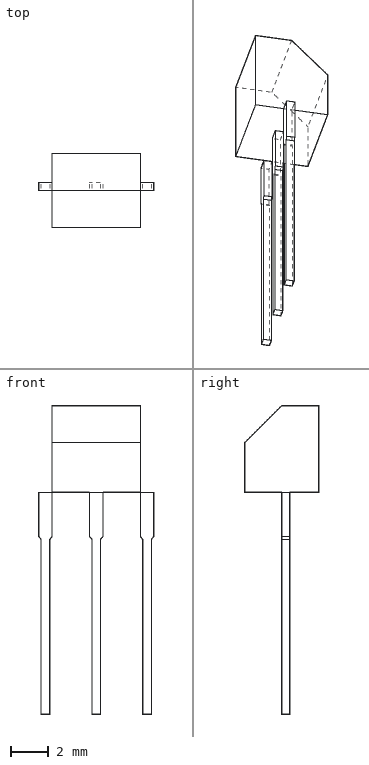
import cadquery as cq

total_height = 16.39
total_width = 6.11

body_width = 4.7
body_depth = 3.93
body_height = 4.6
slope_size = body_depth / 2

lead_count = 3
shoulder_width = 0.72
pin_width = 0.48
lead_thickness = 0.45
shoulder_length = 2.35
taper_length = 0.15
lead_offset_y = 0.21
lead_length = total_height - body_height
lead_pitch = (total_width - shoulder_width) / (lead_count - 1)


def make_housing():
    """Housing standing on Z = 0, with its front top edge cut at 45 degrees."""
    block = cq.Workplane("XY").box(body_width, body_depth, body_height, centered=(True, True, False))
    return block.faces("<Y").edges(">Z").chamfer(slope_size)


def make_lead(center_x):
    """Lead hanging below Z = 0, tapering from its shoulder to the narrow pin."""
    half_shoulder = shoulder_width / 2
    half_pin = pin_width / 2
    taper_end = shoulder_length + taper_length
    outline = [
        (-half_shoulder, 0),
        (half_shoulder, 0),
        (half_shoulder, -shoulder_length),
        (half_pin, -taper_end),
        (half_pin, -lead_length),
        (-half_pin, -lead_length),
        (-half_pin, -taper_end),
        (-half_shoulder, -shoulder_length),
    ]
    profile = cq.Workplane("XZ").polyline(outline).close()
    lead = profile.extrude(lead_thickness / 2, both=True)
    return lead.translate((center_x, lead_offset_y, 0))


housing = make_housing()

leads = []
for index in range(lead_count):
    lead_x = (index - (lead_count - 1) / 2) * lead_pitch
    leads.append(make_lead(lead_x))

result = cq.Compound.makeCompound([housing.val(), *[lead.val() for lead in leads]])